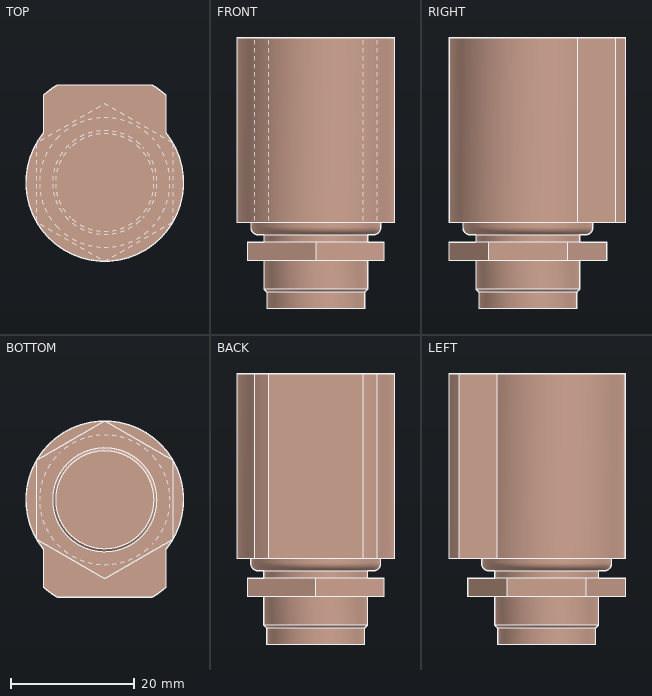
import cadquery as cq

total_height = 44.0
overall_depth = 28.65

body_radius = 12.8
body_bottom = 14.0
pad_half_width = 9.95
pad_back = overall_depth - body_radius
shoulder_width = 2.25
shoulder_drop = 1.65
shoulder_radius = 17.6

collar_radius = 10.55
collar_bottom = 11.95
collar_fillet = 1.25
neck_radius = 8.45
neck_bottom = 2.7
tip_radius = 7.95
neck_chamfer = neck_radius - tip_radius

nut_corner_radius = body_radius
nut_bottom = 7.8
nut_top = 10.82


def cylinder(radius, bottom, top):
    """Cylinder on the Z axis between two heights."""
    return cq.Workplane("XY").workplane(offset=bottom).circle(radius).extrude(top - bottom)


def make_housing():
    """Cylinder joined to the pad, whose back corners are cut by shallow convex arcs."""
    height = total_height - body_bottom
    flat_half_width = pad_half_width - shoulder_width
    shoulder_start = pad_back - shoulder_drop
    pad = (
        cq.Workplane("XY")
        .workplane(offset=body_bottom)
        .moveTo(-pad_half_width, 0)
        .lineTo(pad_half_width, 0)
        .lineTo(pad_half_width, shoulder_start)
        .radiusArc((flat_half_width, pad_back), -shoulder_radius)
        .lineTo(-flat_half_width, pad_back)
        .radiusArc((-pad_half_width, shoulder_start), -shoulder_radius)
        .close()
        .extrude(height)
    )
    return cylinder(body_radius, body_bottom, total_height).union(pad)


def make_stem():
    """Rounded collar, chamfered neck and plain tip."""
    collar = cylinder(collar_radius, collar_bottom, body_bottom).faces("<Z").edges().fillet(collar_fillet)
    neck = cylinder(neck_radius, neck_bottom, collar_bottom).faces("<Z").edges().chamfer(neck_chamfer)
    tip = cylinder(tip_radius, 0, neck_bottom)
    return collar.union(neck).union(tip)


def make_nut():
    """Hexagonal prism around the neck."""
    return (
        cq.Workplane("XY")
        .workplane(offset=nut_bottom)
        .transformed(rotate=(0, 0, 90))
        .polygon(6, 2 * nut_corner_radius)
        .extrude(nut_top - nut_bottom)
    )


result = make_housing().union(make_stem()).union(make_nut())